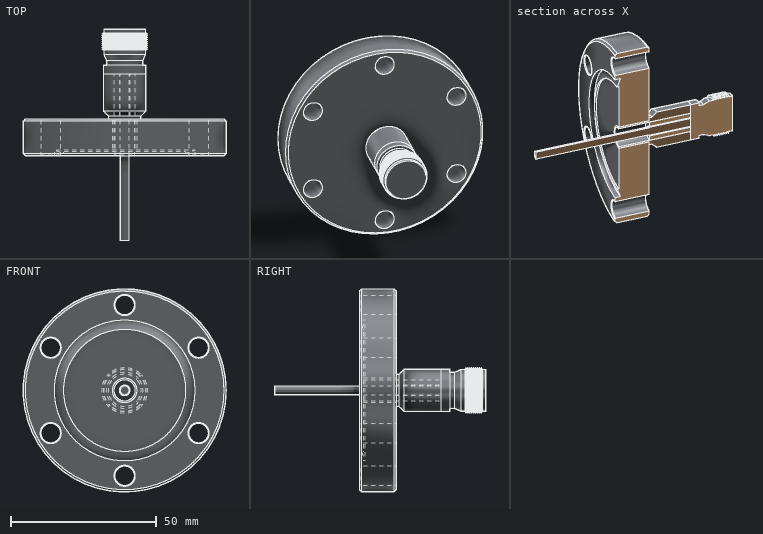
import cadquery as cq
import math


flange_radius = 34.9
flange_thickness = 12.7
flange_chamfer = 0.8

recess_radius = 24.2
recess_depth = 1.95
knife_radius = 21.0
knife_height = 1.15
knife_step = 0.65

bolt_count = 6
bolt_circle_radius = 29.35
bolt_hole_radius = 3.35
bolt_hole_chamfer = 0.3

tube_radius = 4.2
bore_radius = 3.6
collar_radius = 1.8
pin_radius = 1.5
pin_protrusion = 29.1

sleeve_radius = 7.3
sleeve_neck_radius = 5.6
sleeve_neck_length = 0.95
sleeve_length = 15.4

connector_waist_radius = 6.25
connector_nose_radius = 7.2
base_length = 3.05
waist_length = 1.5
cone_length = 2.2
nose_plain_length = 1.45
nose_tip_length = 1.2

thread_crest_radius = 7.85
thread_ring_count = 9
thread_length = 5.95
thread_pitch = thread_length / thread_ring_count

face_center_y = recess_depth - knife_height + knife_step
sleeve_start_y = flange_thickness
sleeve_end_y = sleeve_start_y + sleeve_length


def revolve(outline):
    """Turn an outline of (radius, y) points about the Y axis."""
    return cq.Workplane("XY").polyline(outline).close().revolve(360, (0, 0, 0), (0, 1, 0))


def ring(outer_radius, inner_radius, start_y, end_y):
    """Plain tube along Y."""
    return revolve([
        (inner_radius, start_y),
        (outer_radius, start_y),
        (outer_radius, end_y),
        (inner_radius, end_y),
    ])


def make_bolt_hole():
    """Cutter for one bolt hole on the axis, countersunk at the sealing face."""
    return revolve([
        (0, 0),
        (bolt_hole_radius + bolt_hole_chamfer, 0),
        (bolt_hole_radius, bolt_hole_chamfer),
        (bolt_hole_radius, flange_thickness),
        (0, flange_thickness),
    ])


def make_flange():
    chamfered_radius = flange_radius - flange_chamfer
    flange = revolve([
        (tube_radius, face_center_y),
        (knife_radius, face_center_y),
        (knife_radius, recess_depth - knife_height),
        (recess_radius, recess_depth),
        (recess_radius, 0),
        (chamfered_radius, 0),
        (flange_radius, flange_chamfer),
        (flange_radius, flange_thickness - flange_chamfer),
        (chamfered_radius, flange_thickness),
        (tube_radius, flange_thickness),
    ])
    for index in range(bolt_count):
        angle = math.radians(90 + index * 360 / bolt_count)
        hole_x = bolt_circle_radius * math.cos(angle)
        hole_z = bolt_circle_radius * math.sin(angle)
        flange = flange.cut(make_bolt_hole().translate((hole_x, 0, hole_z)))
    return flange


def make_tube():
    """Lining tube, flush with the centre of the flange face."""
    return ring(tube_radius, bore_radius, face_center_y, flange_thickness)


def make_sleeve():
    cone_start_y = sleeve_start_y + sleeve_neck_length
    cone_end_y = cone_start_y + sleeve_radius - sleeve_neck_radius
    return revolve([
        (bore_radius, sleeve_start_y),
        (sleeve_neck_radius, sleeve_start_y),
        (sleeve_neck_radius, cone_start_y),
        (sleeve_radius, cone_end_y),
        (sleeve_radius, sleeve_end_y),
        (bore_radius, sleeve_end_y),
    ])


def make_insulator():
    """Insulator that fills the sleeve bore around the collar."""
    return ring(bore_radius, collar_radius, sleeve_start_y, sleeve_end_y)


def make_collar():
    """Collar that holds the pin in the insulator."""
    return ring(collar_radius, pin_radius, sleeve_start_y, sleeve_end_y)


def make_pin():
    """Pin from the connector base out through the flange."""
    return revolve([
        (0, -pin_protrusion),
        (pin_radius, -pin_protrusion),
        (pin_radius, sleeve_end_y),
        (0, sleeve_end_y),
    ])


def make_connector():
    waist_start_y = sleeve_end_y + base_length
    cone_start_y = waist_start_y + waist_length
    cone_end_y = cone_start_y + cone_length
    thread_start_y = cone_end_y + nose_plain_length
    tip_end_y = thread_start_y + thread_length + nose_tip_length
    outline = [
        (0, sleeve_end_y),
        (sleeve_radius, sleeve_end_y),
        (sleeve_radius, waist_start_y),
        (connector_waist_radius, waist_start_y),
        (connector_waist_radius, cone_start_y),
        (connector_nose_radius, cone_end_y),
    ]
    for index in range(thread_ring_count):
        root_y = thread_start_y + index * thread_pitch
        outline.append((connector_nose_radius, root_y))
        outline.append((thread_crest_radius, root_y + thread_pitch / 2))
    outline += [
        (connector_nose_radius, thread_start_y + thread_length),
        (connector_nose_radius, tip_end_y),
        (0, tip_end_y),
    ]
    return revolve(outline)


flange = make_flange()
tube = make_tube()
sleeve = make_sleeve()
insulator = make_insulator()
collar = make_collar()
pin = make_pin()
connector = make_connector()

result = cq.Compound.makeCompound([
    flange.val(),
    tube.val(),
    sleeve.val(),
    insulator.val(),
    collar.val(),
    pin.val(),
    connector.val(),
])